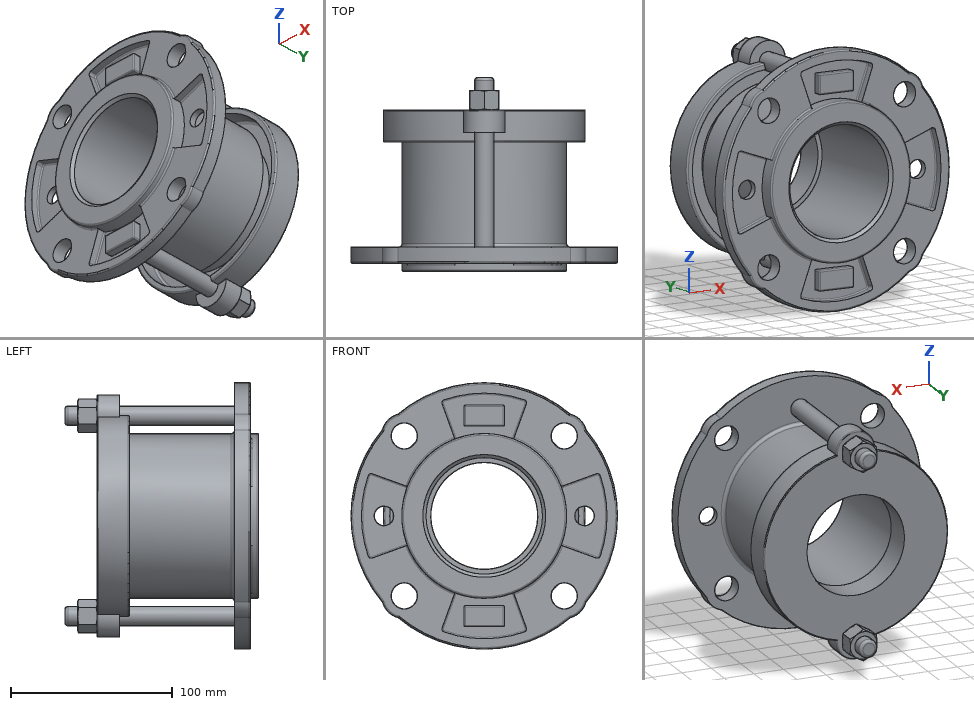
import cadquery as cq
import math


TUBE_RADIUS = 51.0
TUBE_END = 80.0
BORE_RADIUS = 36.0
SPIGOT_EDGE_FILLET = 1.0
BORE_MOUTH_CHAMFER = 2.0

FLANGE_RADIUS = 82.5
FLANGE_FRONT = 5.0
FLANGE_BACK = 15.0
FLANGE_EDGE_FILLET = 1.0
SPIGOT_ROOT_FILLET = 1.0
TUBE_ROOT_FILLET = 2.2
MOUNT_CIRCLE_RADIUS = 70.0
MOUNT_HOLE_DIAMETER = 16.0
MOUNT_LOBE_RADIUS = 14.0
MOUNT_ANGLES = (45, 135, 225, 315)

POCKET_DEPTH = 5.5
POCKET_RADIUS = 76.0
POCKET_APEX = -2.3
POCKET_CORNER_ANGLE = 20.6
POCKET_CORNER_RADIUS = 2.0
POCKET_FLOOR_FILLET = 0.8
POCKET_ANGLES = (0, 90, 180, 270)

RING_RADIUS = 62.5
RING_FRONT = 80.0
RING_BACK = 100.0
RING_FRONT_FILLET = 1.0
RING_BACK_FILLET = 0.6
GROOVE_RADIUS = 58.5
GROOVE_FLOOR = 93.0
GROOVE_FILLET = 1.5
CORE_RADIUS = 43.5
RING_BORE_RADIUS = 33.0
LUG_RADIUS = 13.0
LUG_LENGTH = 14.0

BOLT_OFFSET = 62.0
SHANK_DIAMETER = 12.0
BOLT_END = 120.0
BOLT_TIP_FILLET = 2.0
HEAD_WIDTH = 25.0
HEAD_DEPTH = 13.0
HEAD_HEIGHT = 5.5
HEAD_FILLET = 0.8
NUT_ACROSS_FLATS = 18.0
NUT_HEIGHT = 12.0
NUT_CHAMFER_HEIGHT = 0.6

POCKET_FLOOR = FLANGE_FRONT + POCKET_DEPTH
BOLT_HEIGHTS = (BOLT_OFFSET, -BOLT_OFFSET)
CUT_MARGIN = 1.0


def cylinder(radius, start, end, x=0.0, z=0.0):
    """Cylinder parallel to Y between two Y positions."""
    base = cq.Vector(x, start, z)
    return cq.Workplane(cq.Solid.makeCylinder(radius, end - start, base, cq.Vector(0, 1, 0)))


def polar(radius, angle):
    """X and Z of a point at the given radius and angle in degrees from +X."""
    turn = math.radians(angle)
    return radius * math.cos(turn), radius * math.sin(turn)


def make_flange():
    """Flange disc with a lobe around each mounting hole."""
    flange = cylinder(FLANGE_RADIUS, FLANGE_FRONT, FLANGE_BACK)
    for angle in MOUNT_ANGLES:
        x, z = polar(MOUNT_CIRCLE_RADIUS, angle)
        flange = flange.union(cylinder(MOUNT_LOBE_RADIUS, FLANGE_FRONT, FLANGE_BACK, x, z))
    return flange.faces("<Y").edges().fillet(FLANGE_EDGE_FILLET)


def make_tube():
    """Spigot and tube, with concave fillets where they leave the flange."""
    spigot_root = TUBE_RADIUS + SPIGOT_ROOT_FILLET
    tube_root = TUBE_RADIUS + TUBE_ROOT_FILLET
    arc_middle = 1 - math.sqrt(0.5)
    profile = (
        cq.Workplane("XY")
        .moveTo(0, 0)
        .lineTo(TUBE_RADIUS, 0)
        .lineTo(TUBE_RADIUS, FLANGE_FRONT - SPIGOT_ROOT_FILLET)
        .threePointArc(
            (TUBE_RADIUS + SPIGOT_ROOT_FILLET * arc_middle, FLANGE_FRONT - SPIGOT_ROOT_FILLET * arc_middle),
            (spigot_root, FLANGE_FRONT),
        )
        .lineTo(tube_root, FLANGE_BACK)
        .threePointArc(
            (TUBE_RADIUS + TUBE_ROOT_FILLET * arc_middle, FLANGE_BACK + TUBE_ROOT_FILLET * arc_middle),
            (TUBE_RADIUS, FLANGE_BACK + TUBE_ROOT_FILLET),
        )
        .lineTo(TUBE_RADIUS, TUBE_END)
        .lineTo(0, TUBE_END)
        .close()
    )
    tube = profile.revolve(360, (0, 0, 0), (0, 1, 0))
    return tube.faces("<Y").edges().fillet(SPIGOT_EDGE_FILLET)


def make_pocket():
    """Cutter for one pocket, centred on +X and reaching in to the spigot wall."""
    corner_x, corner_z = polar(POCKET_RADIUS, POCKET_CORNER_ANGLE)
    wedge = (
        cq.Workplane("XZ", origin=(0, POCKET_FLOOR, 0))
        .moveTo(POCKET_APEX, 0)
        .lineTo(corner_x, -corner_z)
        .threePointArc((POCKET_RADIUS, 0), (corner_x, corner_z))
        .close()
        .extrude(POCKET_FLOOR)
    )
    outer_corners = cq.selectors.BoxSelector(
        (corner_x - CUT_MARGIN, 0, -FLANGE_RADIUS),
        (FLANGE_RADIUS, POCKET_FLOOR, FLANGE_RADIUS),
    )
    wedge = wedge.edges("|Y").edges(outer_corners).fillet(POCKET_CORNER_RADIUS)
    wedge = wedge.faces(">Y").edges().fillet(POCKET_FLOOR_FILLET)
    return wedge.cut(cylinder(TUBE_RADIUS, 0, POCKET_FLOOR + CUT_MARGIN))


def make_gland_ring():
    """Rear ring with an annular groove around its core and two bolt lugs."""
    ring = cylinder(RING_RADIUS, RING_FRONT, RING_BACK)
    ring = ring.faces("<Y").edges().fillet(RING_FRONT_FILLET)
    ring = ring.faces(">Y").edges().fillet(RING_BACK_FILLET)
    groove = cylinder(GROOVE_RADIUS, RING_FRONT - CUT_MARGIN, GROOVE_FLOOR)
    groove = groove.faces(">Y").edges().fillet(GROOVE_FILLET)
    for z in BOLT_HEIGHTS:
        lug = cylinder(LUG_RADIUS, RING_BACK - LUG_LENGTH, RING_BACK, z=z)
        ring = ring.union(lug.faces(">Y").edges().fillet(RING_BACK_FILLET))
    ring = ring.cut(groove)
    return ring.union(cylinder(CORE_RADIUS, TUBE_END, RING_BACK))


def make_housing():
    """Flange, tube and gland ring as one solid, with its bores and holes."""
    housing = make_flange().union(make_tube())
    pocket = make_pocket()
    for angle in POCKET_ANGLES:
        housing = housing.cut(pocket.rotate((0, 0, 0), (0, 1, 0), angle))
    housing = housing.union(make_gland_ring())

    housing = housing.cut(cylinder(BORE_RADIUS, 0, TUBE_END))
    housing = housing.faces("<Y").edges("%CIRCLE").edges(cq.selectors.RadiusNthSelector(0))
    housing = housing.chamfer(BORE_MOUTH_CHAMFER)
    housing = housing.cut(cylinder(RING_BORE_RADIUS, 0, RING_BACK))
    for angle in MOUNT_ANGLES:
        x, z = polar(MOUNT_CIRCLE_RADIUS, angle)
        housing = housing.cut(cylinder(MOUNT_HOLE_DIAMETER / 2, 0, FLANGE_BACK, x, z))
    for angle in POCKET_ANGLES:
        x, z = polar(BOLT_OFFSET, angle)
        housing = housing.cut(cylinder(SHANK_DIAMETER / 2, 0, FLANGE_BACK, x, z))
    for z in BOLT_HEIGHTS:
        housing = housing.cut(cylinder(SHANK_DIAMETER / 2, RING_FRONT, RING_BACK, z=z))
    return housing


def make_nut(z):
    """Hexagon with corners toward +Z and -Z, its corners bevelled at both ends."""
    corner_diameter = NUT_ACROSS_FLATS / math.cos(math.pi / 6)
    hexagon = (
        cq.Workplane("XZ", origin=(0, RING_BACK, z))
        .transformed(rotate=(0, 0, 90))
        .polygon(6, corner_diameter)
        .extrude(-NUT_HEIGHT)
    )
    bevel_width = (corner_diameter - NUT_ACROSS_FLATS) / 2
    envelope = cylinder(corner_diameter / 2, RING_BACK, RING_BACK + NUT_HEIGHT, z=z)
    envelope = envelope.edges().chamfer(NUT_CHAMFER_HEIGHT, bevel_width)
    return hexagon.intersect(envelope)


def make_bolt(z):
    """Bolt with a rectangular head seated on a pocket floor, and its nut."""
    shank = cylinder(SHANK_DIAMETER / 2, POCKET_FLOOR, BOLT_END, z=z)
    shank = shank.faces(">Y").edges().fillet(BOLT_TIP_FILLET)
    head = (
        cq.Workplane("XZ", origin=(0, POCKET_FLOOR, z))
        .rect(HEAD_WIDTH, HEAD_DEPTH)
        .extrude(HEAD_HEIGHT)
    )
    head = head.edges("|Y or <Y").fillet(HEAD_FILLET)
    return shank.union(head).union(make_nut(z))


housing = make_housing()
bolts = [make_bolt(z) for z in BOLT_HEIGHTS]

result = cq.Compound.makeCompound([housing.val(), *[bolt.val() for bolt in bolts]])